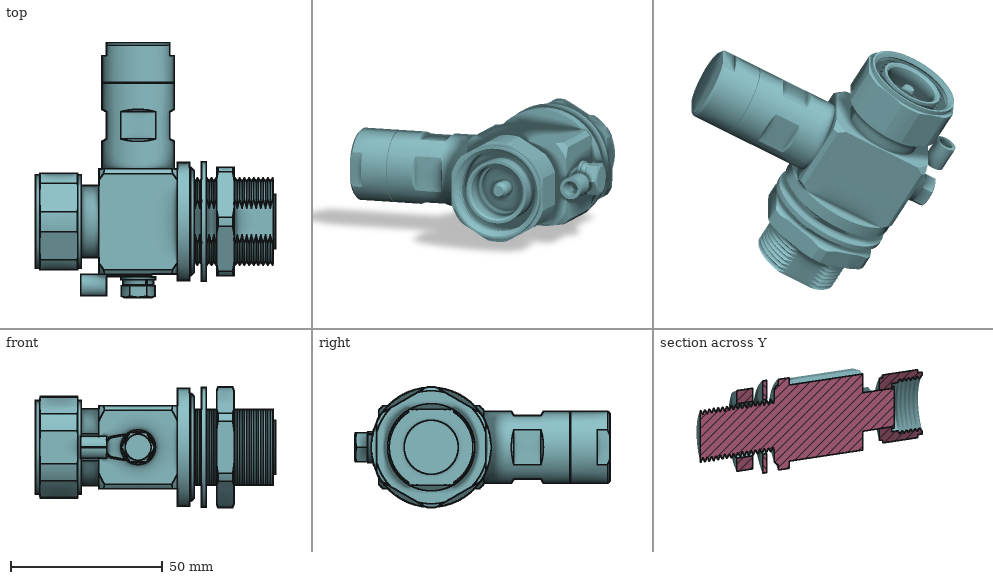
import cadquery as cq
import math


BLOCK_X = 26.0
BLOCK_Y = 34.8
BLOCK_Z = 27.6
BLOCK_EDGE_CHAMFER = 1.5
BLOCK_TURNED_RADIUS = 19.4
TURNED_DEPTH = 3.4

NUT_FRONT_X = -34.05
NUT_BACK_X = -18.75
NUT_HEX_FRONT_X = -32.5
NUT_HEX_BACK_X = -19.9
NUT_FLATS = 32.0
NUT_CORNER_RADIUS = 16.9
NUT_CHAMFER_LENGTH = 0.2
NUT_CHAMFER_DEPTH = 0.8
NUT_END_RADIUS = 15.5
NUT_MOUTH_RADIUS = 14.8
NUT_FLOOR_X = -23.2
NUT_THREAD_CREST = 13.7
NUT_THREAD_PITCH = 1.5
NUT_THREAD_DEPTH = 0.85
NUT_THREAD_COUNT = 5

NECK_RADIUS = 12.8
NECK_FLATS = 23.9
COLLAR_RADIUS = 13.1
COLLAR_LENGTH = 1.0
SLEEVE_FRONT_X = -33.3
SLEEVE_RADIUS = 10.5
SLEEVE_MOUTH_RADIUS = 9.6
SLEEVE_BORE_RADIUS = 8.95
SLEEVE_BORE_FLOOR_X = -25.85
CAVITY_RADIUS = 7.9
CAVITY_FLOOR_X = -23.3

PIN_TIP_X = -31.3
PIN_TIP_RADIUS = 1.8
PIN_RADIUS = 2.5
PIN_CONE_LENGTH = 2.1
PIN_STEP_RADII = (4.4, 3.55)
PIN_STEP_HEIGHT = 0.4

FLANGE_RADIUS = 19.6
FLANGE_END_X = 17.1
SHOULDER_RADIUS = 17.9
SHOULDER_END_X = 18.6
SHOULDER_CHAMFER = 1.1
THREAD_RADIUS = 14.45
THREAD_DEPTH = 1.2
THREAD_PITCH = 1.555
THREAD_END_X = 44.7
THREAD_FLATS = 25.0
FIRST_ROOT_X = 18.8
TIP_END_X = 45.5
TIP_RADIUS = 8.95

WASHER_X = 20.95
WASHER_THICKNESS = 1.6
WASHER_RADIUS = 19.85
PANEL_NUT_X = 25.9
PANEL_NUT_WIDTH = 5.8
PANEL_NUT_FLATS = 36.0
PANEL_NUT_CORNER_RADIUS = 19.98
PANEL_NUT_CHAMFER_LENGTH = 0.5
PANEL_NUT_CHAMFER_DEPTH = 1.3

ARM_RADIUS = 12.0
ARM_FLATS = 21.0
ARM_END_Y = 45.8
ARM_FLATS_Y = (27.4, 36.3)
FLAT_RAMP = 0.85
CAP_END_Y = 59.2
CAP_FLATS_Y = 54.9
CAP_CHAMFER = 0.85
GROOVE_WIDTH = 0.3
GROOVE_DEPTH = 0.3

LUG_TUBE_RADIUS = 3.59
LUG_TUBE_BORE = 2.45
LUG_TUBE_START_X = -19.0
LUG_TUBE_END_X = -10.4
LUG_TUBE_SEAM = 0.25
LUG_THICKNESS = 0.9
LUG_CHAMFER = 0.4
LUG_RING_RADIUS = 4.6
LUG_ROOT_HALF_WIDTH = 2.45
LUG_SHOULDER = (-8.6, 3.6)
FLAT_WASHER_RADIUS = 5.75
FLAT_WASHER_THICKNESS = 0.9
LOCK_WASHER_RADIUS = 5.15
LOCK_WASHER_THICKNESS = 1.7
LOCK_WASHER_SPLIT = 0.5
LOCK_WASHER_SPLIT_ANGLE = 57.5
HEAD_FLATS = 9.7
HEAD_FACE_RADIUS = 4.65
HEAD_FACE_HEIGHT = 0.25
HEAD_HEIGHT = 4.05
HEAD_TOP_RADIUS = 4.3
HEAD_CHAMFER_HEIGHT = 0.6
SHANK_RADIUS = 2.95
SHANK_DEPTH = 6.8

BLOCK_END_X = BLOCK_X / 2
BLOCK_FACE_Y = BLOCK_Y / 2
LUG_FACE_Y = -BLOCK_FACE_Y - LUG_THICKNESS
FLAT_WASHER_FACE_Y = LUG_FACE_Y - FLAT_WASHER_THICKNESS
HEAD_SEAT_Y = FLAT_WASHER_FACE_Y - LOCK_WASHER_THICKNESS


def turned(profile):
    """Revolve (x, radius) points about the X axis."""
    return cq.Workplane("XY").polyline(profile).close().revolve(360, (0, 0, 0), (1, 0, 0))


def rod_x(radius, x_start, x_end):
    return cq.Workplane("YZ", origin=(x_start, 0, 0)).circle(radius).extrude(x_end - x_start)


def rod_y(radius, y_start, y_end):
    return cq.Workplane("XZ", origin=(0, y_start, 0)).circle(radius).extrude(y_start - y_end)


def box_between(x_range, y_range, z_range):
    size = [high - low for low, high in (x_range, y_range, z_range)]
    return cq.Workplane("XY").box(*size, centered=False).translate((x_range[0], y_range[0], z_range[0]))


def hex_x(flats, x_start, x_end):
    """Hexagonal prism along X with two flats facing +Y and -Y."""
    corners = flats / math.cos(math.pi / 6)
    prism = cq.Workplane("YZ", origin=(x_start, 0, 0)).polygon(6, corners).extrude(x_end - x_start)
    return prism.rotate((0, 0, 0), (1, 0, 0), 30)


def truncated_hex(flats, corner_radius, x_start, x_end, chamfer_length, chamfer_depth):
    """Hexagon along X whose corners and end edges are turned off."""
    end_radius = corner_radius - chamfer_depth
    envelope = turned([
        (x_start, 0),
        (x_start, end_radius),
        (x_start + chamfer_length, corner_radius),
        (x_end - chamfer_length, corner_radius),
        (x_end, end_radius),
        (x_end, 0),
    ])
    return hex_x(flats, x_start, x_end).intersect(envelope)


def make_block():
    block = cq.Workplane("XY").box(BLOCK_X, BLOCK_Y, BLOCK_Z).edges("|X").chamfer(BLOCK_EDGE_CHAMFER)
    envelope = turned([
        (-BLOCK_END_X, 0),
        (-BLOCK_END_X, BLOCK_TURNED_RADIUS),
        (-BLOCK_END_X + TURNED_DEPTH, BLOCK_TURNED_RADIUS + TURNED_DEPTH),
        (BLOCK_END_X - TURNED_DEPTH, BLOCK_TURNED_RADIUS + TURNED_DEPTH),
        (BLOCK_END_X, BLOCK_TURNED_RADIUS),
        (BLOCK_END_X, 0),
    ])
    return block.intersect(envelope)


def make_plug():
    """Neck, collar, sleeve and contact pin on the -X side of the block."""
    neck = rod_x(NECK_RADIUS, NUT_FLOOR_X, -BLOCK_END_X).intersect(
        cq.Workplane("XY").box(4 * BLOCK_X, NECK_FLATS, BLOCK_Z)
    )
    collar_front_x = NUT_FLOOR_X - COLLAR_LENGTH
    collar = rod_x(COLLAR_RADIUS, collar_front_x, NUT_FLOOR_X)
    sleeve = rod_x(SLEEVE_RADIUS, SLEEVE_FRONT_X, collar_front_x)
    mouth_chamfer = SLEEVE_MOUTH_RADIUS - SLEEVE_BORE_RADIUS
    bore = turned([
        (SLEEVE_FRONT_X, 0),
        (SLEEVE_FRONT_X, SLEEVE_MOUTH_RADIUS),
        (SLEEVE_FRONT_X + mouth_chamfer, SLEEVE_BORE_RADIUS),
        (SLEEVE_BORE_FLOOR_X, SLEEVE_BORE_RADIUS),
        (SLEEVE_BORE_FLOOR_X, CAVITY_RADIUS),
        (CAVITY_FLOOR_X, CAVITY_RADIUS),
        (CAVITY_FLOOR_X, 0),
    ])
    large_step, small_step = PIN_STEP_RADII
    pin = turned([
        (PIN_TIP_X, 0),
        (PIN_TIP_X, PIN_TIP_RADIUS),
        (PIN_TIP_X + PIN_CONE_LENGTH, PIN_RADIUS),
        (CAVITY_FLOOR_X - 2 * PIN_STEP_HEIGHT, PIN_RADIUS),
        (CAVITY_FLOOR_X - 2 * PIN_STEP_HEIGHT, small_step),
        (CAVITY_FLOOR_X - PIN_STEP_HEIGHT, small_step),
        (CAVITY_FLOOR_X - PIN_STEP_HEIGHT, large_step),
        (CAVITY_FLOOR_X, large_step),
        (CAVITY_FLOOR_X, 0),
    ])
    return neck.union(collar).union(sleeve).cut(bore).union(pin)


def make_threaded_stud():
    """Ring-grooved stud with two flats, facing +Z and -Z."""
    profile = [(SHOULDER_END_X, 0), (SHOULDER_END_X, THREAD_RADIUS - THREAD_DEPTH / 2)]
    root_count = int((THREAD_END_X - FIRST_ROOT_X) / THREAD_PITCH) + 1
    for index in range(root_count):
        root_x = FIRST_ROOT_X + index * THREAD_PITCH
        profile.append((root_x, THREAD_RADIUS - THREAD_DEPTH))
        profile.append((root_x + THREAD_PITCH / 2, THREAD_RADIUS))
    profile.append((THREAD_END_X, THREAD_RADIUS - THREAD_DEPTH / 2))
    profile.append((THREAD_END_X, 0))
    flats = cq.Workplane("XY").box(4 * BLOCK_X, 2 * BLOCK_Y, THREAD_FLATS)
    return turned(profile).intersect(flats)


def make_panel_side():
    """Flange, shoulder, stud and end tip on the +X side of the block."""
    flange = turned([
        (BLOCK_END_X, 0),
        (BLOCK_END_X, FLANGE_RADIUS),
        (FLANGE_END_X, FLANGE_RADIUS),
        (FLANGE_END_X, SHOULDER_RADIUS),
        (SHOULDER_END_X - SHOULDER_CHAMFER, SHOULDER_RADIUS),
        (SHOULDER_END_X, SHOULDER_RADIUS - SHOULDER_CHAMFER),
        (SHOULDER_END_X, 0),
    ])
    tip = rod_x(TIP_RADIUS, THREAD_END_X, TIP_END_X)
    return flange.union(make_threaded_stud()).union(tip)


def make_arm():
    """Round arm along +Y with four spanner flats that have sloped ends."""
    arm = rod_y(ARM_RADIUS, BLOCK_FACE_Y, ARM_END_Y)
    flat_start, flat_end = ARM_FLATS_Y
    flat_depth = ARM_RADIUS - ARM_FLATS / 2
    notch = (
        cq.Workplane("XY")
        .polyline([
            (ARM_FLATS / 2, flat_start),
            (ARM_FLATS / 2, flat_end),
            (ARM_FLATS / 2 + flat_depth, flat_end + FLAT_RAMP),
            (ARM_FLATS / 2 + flat_depth, flat_start - FLAT_RAMP),
        ])
        .close()
        .extrude(ARM_RADIUS, both=True)
    )
    for quarter in range(4):
        arm = arm.cut(notch.rotate((0, 0, 0), (0, 1, 0), 90 * quarter))
    return arm


def make_housing():
    screw_hole = rod_y(SHANK_RADIUS, -BLOCK_FACE_Y, -BLOCK_FACE_Y + SHANK_DEPTH)
    return make_block().union(make_plug()).union(make_panel_side()).union(make_arm()).cut(screw_hole)


def make_cap():
    """Cap on the arm, with two spanner flats and a thin groove at the joint."""
    spigot = rod_y(ARM_RADIUS - GROOVE_DEPTH, ARM_END_Y, ARM_END_Y + GROOVE_WIDTH)
    cap = rod_y(ARM_RADIUS, ARM_END_Y + GROOVE_WIDTH, CAP_END_Y).faces(">Y").chamfer(CAP_CHAMFER)
    for side in (-1, 1):
        inner, outer = sorted((side * ARM_FLATS / 2, side * ARM_RADIUS))
        cap = cap.cut(box_between((inner, outer), (CAP_FLATS_Y, CAP_END_Y), (-ARM_RADIUS, ARM_RADIUS)))
    return cap.union(spigot)


def make_coupling_nut():
    shell = rod_x(NUT_END_RADIUS, NUT_FRONT_X, NUT_BACK_X)
    hexagon = truncated_hex(
        NUT_FLATS,
        NUT_CORNER_RADIUS,
        NUT_HEX_FRONT_X,
        NUT_HEX_BACK_X,
        NUT_CHAMFER_LENGTH,
        NUT_CHAMFER_DEPTH,
    )
    thread_start_x = NUT_FRONT_X + NUT_MOUTH_RADIUS - NUT_THREAD_CREST
    cavity = [
        (NUT_FRONT_X, 0),
        (NUT_FRONT_X, NUT_MOUTH_RADIUS),
        (thread_start_x, NUT_THREAD_CREST),
    ]
    for index in range(NUT_THREAD_COUNT):
        crest_x = thread_start_x + index * NUT_THREAD_PITCH
        cavity.append((crest_x + NUT_THREAD_PITCH / 2, NUT_THREAD_CREST + NUT_THREAD_DEPTH))
        cavity.append((crest_x + NUT_THREAD_PITCH, NUT_THREAD_CREST))
    cavity.append((NUT_FLOOR_X, NUT_THREAD_CREST))
    cavity.append((NUT_FLOOR_X, 0))
    back_bore = rod_x(NECK_RADIUS, NUT_FLOOR_X, NUT_BACK_X)
    return shell.union(hexagon).cut(turned(cavity)).cut(back_bore)


def make_panel_washer():
    washer_end_x = WASHER_X + WASHER_THICKNESS
    return rod_x(WASHER_RADIUS, WASHER_X, washer_end_x).cut(rod_x(THREAD_RADIUS, WASHER_X, washer_end_x))


def make_panel_nut():
    nut_end_x = PANEL_NUT_X + PANEL_NUT_WIDTH
    nut = truncated_hex(
        PANEL_NUT_FLATS,
        PANEL_NUT_CORNER_RADIUS,
        PANEL_NUT_X,
        nut_end_x,
        PANEL_NUT_CHAMFER_LENGTH,
        PANEL_NUT_CHAMFER_DEPTH,
    )
    return nut.cut(rod_x(THREAD_RADIUS, PANEL_NUT_X, nut_end_x))


def make_lug():
    """Crimp tube that runs into a flat, round-ended plate under the screw."""
    tube_axis_y = -BLOCK_FACE_Y - LUG_TUBE_RADIUS
    tube = (
        cq.Workplane("YZ", origin=(LUG_TUBE_START_X, tube_axis_y, 0))
        .circle(LUG_TUBE_RADIUS)
        .circle(LUG_TUBE_BORE)
        .extrude(LUG_TUBE_END_X - LUG_TUBE_START_X)
    )
    seam = box_between(
        (LUG_TUBE_START_X, LUG_TUBE_END_X),
        (tube_axis_y - LUG_TUBE_RADIUS, tube_axis_y),
        (-LUG_TUBE_SEAM / 2, LUG_TUBE_SEAM / 2),
    )
    ring_diagonal = LUG_RING_RADIUS / math.sqrt(2)
    plate = (
        cq.Workplane("XZ", origin=(0, -BLOCK_FACE_Y, 0))
        .moveTo(LUG_RING_RADIUS, 0)
        .threePointArc((ring_diagonal, ring_diagonal), (0, LUG_RING_RADIUS))
        .tangentArcPoint(LUG_SHOULDER, relative=False)
        .tangentArcPoint((LUG_TUBE_END_X, LUG_ROOT_HALF_WIDTH), relative=False)
        .lineTo(LUG_TUBE_END_X, 0)
        .mirrorX()
        .extrude(LUG_THICKNESS)
        .faces("<Y")
        .edges("not <X")
        .chamfer(LUG_CHAMFER)
    )
    return tube.cut(seam).union(plate).cut(rod_y(SHANK_RADIUS, LUG_FACE_Y, -BLOCK_FACE_Y))


def make_screw_washer():
    """Flat washer that carries a split ring under the screw head."""
    flat_ring = rod_y(FLAT_WASHER_RADIUS, FLAT_WASHER_FACE_Y, LUG_FACE_Y)
    split_ring = rod_y(LOCK_WASHER_RADIUS, HEAD_SEAT_Y, FLAT_WASHER_FACE_Y)
    split = box_between(
        (0, LOCK_WASHER_RADIUS + 0.85),
        (HEAD_SEAT_Y, FLAT_WASHER_FACE_Y),
        (-LOCK_WASHER_SPLIT / 2, LOCK_WASHER_SPLIT / 2),
    ).rotate((0, 0, 0), (0, 1, 0), -LOCK_WASHER_SPLIT_ANGLE)
    return split_ring.cut(split).union(flat_ring).cut(rod_y(SHANK_RADIUS, HEAD_SEAT_Y, LUG_FACE_Y))


def make_screw():
    corner_radius = HEAD_FLATS / 2 / math.cos(math.pi / 6)
    hex_start_y = HEAD_SEAT_Y - HEAD_FACE_HEIGHT
    head = (
        cq.Workplane("XZ", origin=(0, hex_start_y, 0))
        .polygon(6, 2 * corner_radius)
        .extrude(HEAD_HEIGHT)
    )
    head_top_y = hex_start_y - HEAD_HEIGHT
    envelope = (
        cq.Workplane("XY")
        .polyline([
            (0, hex_start_y),
            (corner_radius, hex_start_y),
            (corner_radius, head_top_y + HEAD_CHAMFER_HEIGHT),
            (HEAD_TOP_RADIUS, head_top_y),
            (0, head_top_y),
        ])
        .close()
        .revolve(360, (0, 0, 0), (0, 1, 0))
    )
    seat = rod_y(HEAD_FACE_RADIUS, hex_start_y, HEAD_SEAT_Y)
    shank = rod_y(SHANK_RADIUS, HEAD_SEAT_Y, -BLOCK_FACE_Y + SHANK_DEPTH)
    return head.intersect(envelope).union(seat).union(shank)


housing = make_housing()
cap = make_cap()
coupling_nut = make_coupling_nut()
panel_washer = make_panel_washer()
panel_nut = make_panel_nut()
lug = make_lug()
screw_washer = make_screw_washer()
screw = make_screw()

result = cq.Compound.makeCompound([
    housing.val(),
    cap.val(),
    coupling_nut.val(),
    panel_washer.val(),
    panel_nut.val(),
    lug.val(),
    screw_washer.val(),
    screw.val(),
])